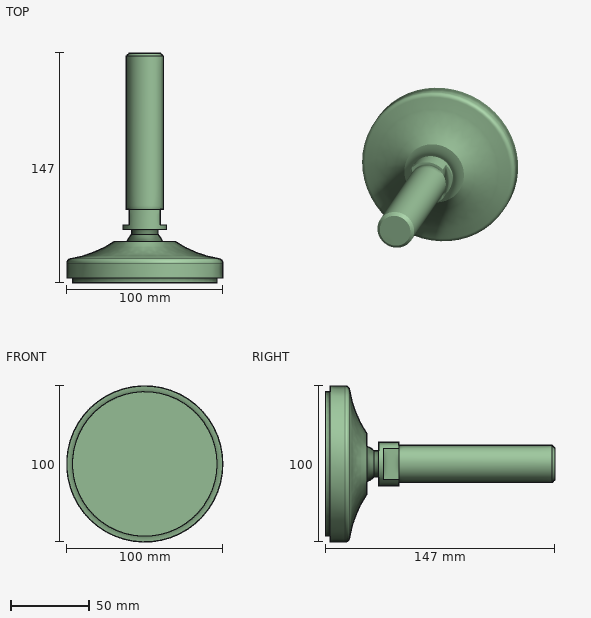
import cadquery as cq
import math


pad_diameter = 92.5
pad_thickness = 3.0
plate_diameter = 100.0
rim_top_y = 12.5
rim_round_radius = 3.0
crown_y = 26.5
crown_diameter = 39.0
slope_start_degrees = 9.0

ball_diameter = 24.0
neck_diameter = 17.0
neck_bottom_y = 31.0

collar_diameter = 28.0
collar_bottom_y = 34.0
collar_flange = 3.0
flats_width = 20.0
collar_top_y = 47.0

stem_diameter = 24.0
stem_length = 100.0
stem_chamfer = 2.0


def cylinder(diameter, bottom_y, top_y):
    """Round bar along Y between two heights."""
    disc = cq.Workplane("XZ", origin=(0, bottom_y, 0)).circle(diameter / 2)
    return disc.extrude(bottom_y - top_y)


def foot_plate():
    """Turned plate: straight rim, rounded shoulder, hollow slope and flat crown."""
    rim_radius = plate_diameter / 2
    round_centre_x = rim_radius - rim_round_radius

    def round_point(angle):
        """Point on the shoulder rounding, at an angle measured from +Y towards +X."""
        x = round_centre_x + rim_round_radius * math.sin(angle)
        y = rim_top_y + rim_round_radius * math.cos(angle)
        return x, y

    slope_start_angle = math.radians(slope_start_degrees)
    round_end = round_point(slope_start_angle)
    round_middle = round_point((slope_start_angle + math.pi / 2) / 2)

    profile = (
        cq.Workplane("XY")
        .moveTo(0, pad_thickness)
        .lineTo(rim_radius, pad_thickness)
        .lineTo(rim_radius, rim_top_y)
        .threePointArc(round_middle, round_end)
        .tangentArcPoint((crown_diameter / 2, crown_y), relative=False)
        .lineTo(0, crown_y)
        .close()
    )
    return profile.revolve(360, (0, 0, 0), (0, 1, 0))


def ball():
    """Ball whose surface meets the neck's edge at the neck's lower end."""
    centre_drop = math.sqrt((ball_diameter / 2) ** 2 - (neck_diameter / 2) ** 2)
    sphere = cq.Workplane("XY").sphere(ball_diameter / 2)
    return sphere.translate((0, neck_bottom_y - centre_drop, 0))


def wrench_collar():
    """Round collar with two opposite flats above a full round flange."""
    flange_top_y = collar_bottom_y + collar_flange
    flange = cylinder(collar_diameter, collar_bottom_y, flange_top_y)
    flats_height = collar_top_y - flange_top_y
    flats = cq.Workplane("XY").box(flats_width, flats_height, collar_diameter)
    flats = flats.translate((0, flange_top_y + flats_height / 2, 0))
    return flange.union(cylinder(collar_diameter, flange_top_y, collar_top_y).intersect(flats))


def stem():
    """Stem with a chamfered free end."""
    bar = cylinder(stem_diameter, collar_top_y, collar_top_y + stem_length)
    return bar.faces(">Y").chamfer(stem_chamfer)


pad = cylinder(pad_diameter, 0, pad_thickness)
neck = cylinder(neck_diameter, neck_bottom_y, collar_bottom_y)
result = pad.union(foot_plate()).union(ball()).union(neck).union(wrench_collar()).union(stem())